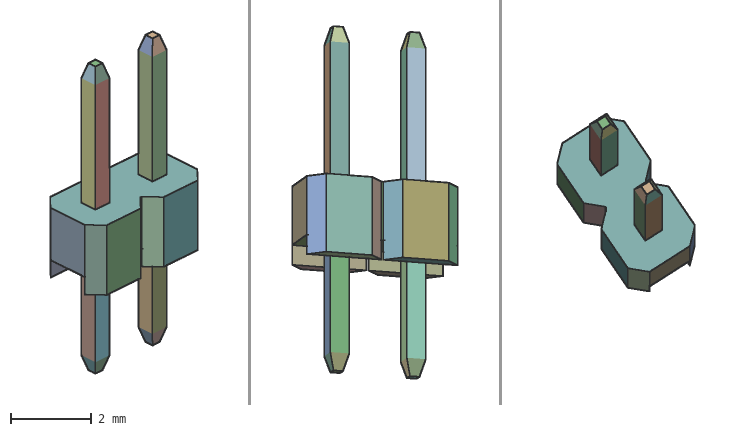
import cadquery as cq

PIN_COUNT = 2
PITCH = 2.0

BODY_WIDTH = 2.0
BODY_HEIGHT = 2.0
CELL_LENGTH = 1.95
CORNER_X = 0.4
CORNER_Y = 0.375
NECK_WIDTH = BODY_WIDTH - 2 * CORNER_X
CHANNEL_DEPTH = 0.5

PIN_WIDTH = 0.5
TIP_WIDTH = 0.25
TIP_LENGTH = 0.43
PIN_ABOVE_BODY = 4.0
PIN_BELOW_BODY = 2.8

PIN_BOTTOM = -PIN_BELOW_BODY
PIN_TOP = BODY_HEIGHT + PIN_ABOVE_BODY
BODY_LENGTH = (PIN_COUNT - 1) * PITCH + CELL_LENGTH
PIN_POSITIONS = [(i - (PIN_COUNT - 1) / 2) * PITCH for i in range(PIN_COUNT)]


def make_cell(center_y):
    """Octagonal block of the body around one pin."""
    half_width = BODY_WIDTH / 2
    half_neck = NECK_WIDTH / 2
    half_length = CELL_LENGTH / 2
    half_side = half_length - CORNER_Y
    outline = [
        (half_neck, -half_length),
        (half_width, -half_side),
        (half_width, half_side),
        (half_neck, half_length),
        (-half_neck, half_length),
        (-half_width, half_side),
        (-half_width, -half_side),
        (-half_neck, -half_length),
    ]
    return (
        cq.Workplane("XY")
        .center(0, center_y)
        .polyline(outline)
        .close()
        .extrude(BODY_HEIGHT)
    )


def make_body():
    """Row of cells on a central spine, with a channel along the underside."""
    body = cq.Workplane("XY").box(
        NECK_WIDTH, BODY_LENGTH, BODY_HEIGHT, centered=(True, True, False)
    )
    for center_y in PIN_POSITIONS:
        body = body.union(make_cell(center_y))
    channel = cq.Workplane("XY").box(
        NECK_WIDTH, BODY_LENGTH, CHANNEL_DEPTH, centered=(True, True, False)
    )
    return body.cut(channel)


def make_tip(center_y, base_z, direction):
    """Four-sided taper pointing up (direction 1) or down (direction -1)."""
    base = cq.Plane(origin=(0, center_y, base_z), xDir=(1, 0, 0), normal=(0, 0, direction))
    return (
        cq.Workplane(base)
        .rect(PIN_WIDTH, PIN_WIDTH)
        .workplane(offset=TIP_LENGTH)
        .rect(TIP_WIDTH, TIP_WIDTH)
        .loft(ruled=True)
    )


def make_pin(center_y):
    """Square pin with a taper at both ends."""
    shank_bottom = PIN_BOTTOM + TIP_LENGTH
    shank_top = PIN_TOP - TIP_LENGTH
    shank = (
        cq.Workplane("XY", origin=(0, center_y, shank_bottom))
        .rect(PIN_WIDTH, PIN_WIDTH)
        .extrude(shank_top - shank_bottom)
    )
    top_tip = make_tip(center_y, shank_top, 1)
    bottom_tip = make_tip(center_y, shank_bottom, -1)
    return shank.union(top_tip).union(bottom_tip)


result = make_body()
for pin_y in PIN_POSITIONS:
    result = result.union(make_pin(pin_y))